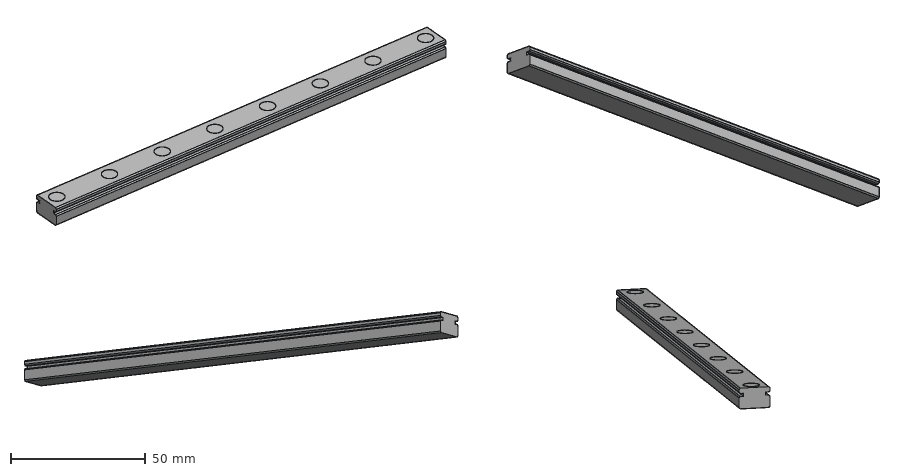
import cadquery as cq

length = 185
width = 12.0
height = 8.0
edge_chamfer = 0.54

groove_depth = 1.75
groove_bottom = 4.8
groove_top = 6.0
lip_chamfer = 0.5

recess_count = 8
recess_diameter = 6.1
recess_depth = 0.1
end_distance = 5.0
recess_pitch = (length - 2 * end_distance) / (recess_count - 1)


def rail_body():
    """Symmetric cross-section, extruded along Y and centred on the origin in X and Y."""
    side = width / 2
    groove_floor = side - groove_depth
    right_half = [
        (0, 0),
        (side - edge_chamfer, 0),
        (side, edge_chamfer),
        (side, groove_bottom - lip_chamfer),
        (side - lip_chamfer, groove_bottom),
        (groove_floor, groove_bottom),
        (groove_floor, groove_top),
        (side - lip_chamfer, groove_top),
        (side, groove_top + lip_chamfer),
        (side, height - edge_chamfer),
        (side - edge_chamfer, height),
        (0, height),
    ]
    half = cq.Workplane("XZ").polyline(right_half).close().extrude(length / 2, both=True)
    return half.union(half.mirror("YZ"))


def top_recesses():
    """Shallow flat-bottomed discs, evenly spaced along the rail's centre line."""
    return (
        cq.Workplane("XY", origin=(0, 0, height))
        .rarray(1.8, recess_pitch, 1, recess_count)
        .circle(recess_diameter / 2)
        .extrude(-recess_depth)
    )


result = rail_body().cut(top_recesses()).clean()